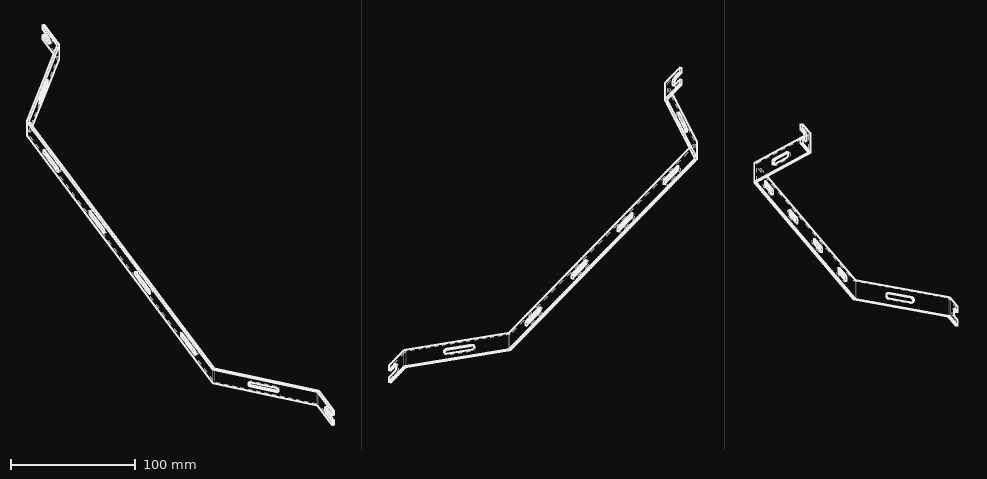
import cadquery as cq
import math

length = 482.6
depth = 63.5
width = 15.875

thickness = 1.83
bend_angle = 45.0
inner_radius = thickness / 2
main_face_length = 310.0

slot_length = 25.4
slot_height = 4.76
slot_pitch = 76.2
main_slot_count = 4
leg_slot_offset = 1.8
notch_depth = 12.7
notch_height = 7.14

corner_shift = thickness * math.tan(math.radians(bend_angle / 2))
leg_run = (depth - thickness) / math.tan(math.radians(bend_angle))

half_length = length / 2
front_y = -depth / 2
back_y = depth / 2
main_corner_x = main_face_length / 2
tab_corner_x = main_corner_x + leg_run
cut_depth = 4 * thickness


def bent_strip():
    """Strip with a flat middle, two sloping legs and two end tabs."""
    front_face = [
        (-half_length, back_y - thickness),
        (-tab_corner_x, back_y - thickness),
        (-main_corner_x, front_y),
        (main_corner_x, front_y),
        (tab_corner_x, back_y - thickness),
        (half_length, back_y - thickness),
    ]
    back_face = [
        (half_length, back_y),
        (tab_corner_x - corner_shift, back_y),
        (main_corner_x - corner_shift, front_y + thickness),
        (-main_corner_x + corner_shift, front_y + thickness),
        (-tab_corner_x + corner_shift, back_y),
        (-half_length, back_y),
    ]
    strip = (
        cq.Workplane("XY")
        .polyline(front_face + back_face)
        .close()
        .extrude(width / 2, both=True)
    )
    return round_bends(strip)


def bend_edges(corners):
    """Selector for the upright edges at the given corners, on both halves."""
    reach = thickness / 4
    picked = None
    for x, y in corners:
        for side in (-1, 1):
            low = (side * x - reach, y - reach, -width)
            high = (side * x + reach, y + reach, width)
            box = cq.selectors.BoxSelector(low, high)
            picked = box if picked is None else picked + box
    return picked


def round_bends(strip):
    """Round the inside and outside of all four bends about shared centres."""
    outer_corners = [
        (main_corner_x, front_y),
        (tab_corner_x - corner_shift, back_y),
    ]
    inner_corners = [
        (main_corner_x - corner_shift, front_y + thickness),
        (tab_corner_x, back_y - thickness),
    ]
    strip = strip.edges("|Z").edges(bend_edges(inner_corners)).fillet(inner_radius)
    return strip.edges("|Z").edges(bend_edges(outer_corners)).fillet(inner_radius + thickness)


def slot_cutter(x, y, turn, slot_total_length, height):
    """Round-ended slot through the sheet, centred at (x, y) and turned about Z."""
    return (
        cq.Workplane("XZ")
        .slot2D(slot_total_length, height)
        .extrude(cut_depth / 2, both=True)
        .rotate((0, 0, 0), (0, 0, 1), turn)
        .translate((x, y, 0))
    )


def main_slots(strip):
    """Evenly spaced row of slots along the flat middle."""
    for index in range(main_slot_count):
        x = (index - (main_slot_count - 1) / 2) * slot_pitch
        strip = strip.cut(slot_cutter(x, front_y, 0, slot_length, slot_height))
    return strip


def leg_slots(strip):
    """One slot near the middle of each sloping leg."""
    angle = math.radians(bend_angle)
    leg_middle_x = (main_corner_x + tab_corner_x - corner_shift) / 2
    slot_x = leg_middle_x - leg_slot_offset * math.cos(angle)
    slot_y = -leg_slot_offset * math.sin(angle)
    for side in (-1, 1):
        cutter = slot_cutter(side * slot_x, slot_y, side * bend_angle, slot_length, slot_height)
        strip = strip.cut(cutter)
    return strip


def end_notches(strip):
    """Round-bottomed notch open at the end of each tab."""
    for side in (-1, 1):
        cutter = slot_cutter(side * half_length, back_y, 0, 2 * notch_depth, notch_height)
        strip = strip.cut(cutter)
    return strip


result = end_notches(leg_slots(main_slots(bent_strip())))